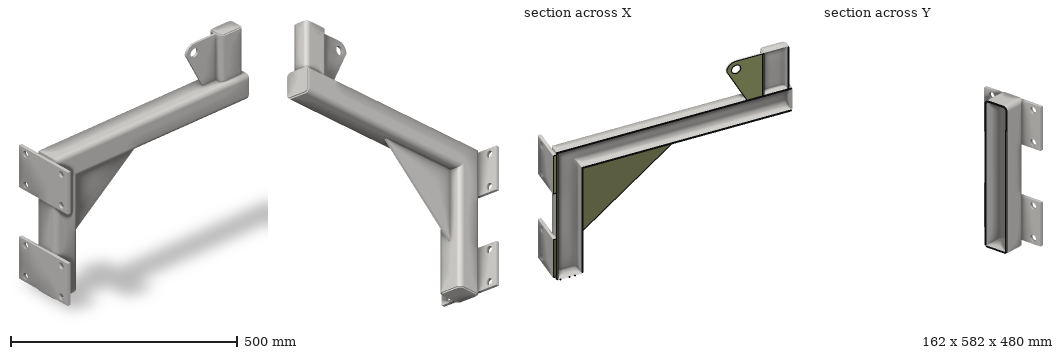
import cadquery as cq
import math


TUBE_SIZE = 65.0
TUBE_RADIUS = 11.5
TUBE_WALL = 4.0
ARM_LENGTH = 570.5
LEG_HEIGHT = 357.0

POST_WIDTH = 42.0
POST_DEPTH = 65.0
POST_RADIUS = 10.5
POST_WALL = 4.0
POST_HEIGHT = 117.5
POST_SETBACK = 5.0

ARM_CAP_THICKNESS = 3.5
LEG_CAP_THICKNESS = 3.0
POST_CAP_THICKNESS = 2.5
CAP_INSET = 3.0

LUG_THICKNESS = 6.0
LUG_REACH = 64.0
LUG_FOOT_LENGTH = 38.5
LUG_EYE_RADIUS = 23.0
LUG_HOLE_DIAMETER = 21.5

GUSSET_THICKNESS = 6.0
GUSSET_ARM_SIDE = 215.0
GUSSET_LEG_SIDE = 173.5

PLATE_WIDTH = 162.0
PLATE_HEIGHT = 107.5
PLATE_THICKNESS = 8.0
PLATE_BOTTOMS = (9.0, 243.0)
PLATE_HOLE_DIAMETER = 16.5
PLATE_HOLE_SPACING_X = 119.0
PLATE_HOLE_SPACING_Z = 79.0

ARM_UNDERSIDE = LEG_HEIGHT - TUBE_SIZE
ARM_MID_HEIGHT = LEG_HEIGHT - TUBE_SIZE / 2
LEG_MID_Y = TUBE_SIZE / 2
POST_FRONT_Y = ARM_LENGTH - POST_SETBACK - POST_DEPTH
POST_MID_Y = POST_FRONT_Y + POST_DEPTH / 2
POST_TOP = LEG_HEIGHT + POST_HEIGHT


def rounded_bar(width, depth, radius, length):
    """Bar along Z with rounded long edges, its base centred on the origin."""
    bar = cq.Workplane("XY").rect(width, depth).extrude(length)
    return bar.edges("|Z").fillet(radius)


def hollow_bar(width, depth, radius, wall, length):
    """Rectangular tube along Z with rounded long edges inside and out."""
    outside = rounded_bar(width, depth, radius, length)
    inside = rounded_bar(width - 2 * wall, depth - 2 * wall, radius - wall, length)
    return outside.cut(inside)


def cap(width, depth, radius, thickness):
    """End cap for a tube, set in all round from the outer faces of the tube."""
    return rounded_bar(width - 2 * CAP_INSET, depth - 2 * CAP_INSET, radius - CAP_INSET, thickness)


def along_arm(body, start_y):
    """Turn a body built along Z so that it runs along +Y, centred on the arm."""
    return body.rotate((0, 0, 0), (1, 0, 0), -90).translate((0, start_y, ARM_MID_HEIGHT))


def side_plate(outline, thickness):
    """Plate of the given thickness, centred on X = 0, from a closed outline in the YZ plane."""
    return outline.extrude(thickness / 2, both=True)


def square_tube(length):
    return hollow_bar(TUBE_SIZE, TUBE_SIZE, TUBE_RADIUS, TUBE_WALL, length)


def square_tube_cap(thickness):
    return cap(TUBE_SIZE, TUBE_SIZE, TUBE_RADIUS, thickness)


def build_leg():
    mitred_side = (
        cq.Workplane("YZ")
        .polyline([(0, 0), (TUBE_SIZE, 0), (TUBE_SIZE, ARM_UNDERSIDE), (0, LEG_HEIGHT)])
        .close()
    )
    tube = square_tube(LEG_HEIGHT).translate((0, LEG_MID_Y, 0))
    return tube.intersect(side_plate(mitred_side, TUBE_SIZE))


def build_arm():
    mitred_side = (
        cq.Workplane("YZ")
        .polyline([
            (0, LEG_HEIGHT),
            (ARM_LENGTH, LEG_HEIGHT),
            (ARM_LENGTH, ARM_UNDERSIDE),
            (TUBE_SIZE, ARM_UNDERSIDE),
        ])
        .close()
    )
    tube = along_arm(square_tube(ARM_LENGTH), 0)
    return tube.intersect(side_plate(mitred_side, TUBE_SIZE))


def build_leg_cap():
    return square_tube_cap(LEG_CAP_THICKNESS).translate((0, LEG_MID_Y, -LEG_CAP_THICKNESS))


def build_arm_cap():
    return along_arm(square_tube_cap(ARM_CAP_THICKNESS), ARM_LENGTH)


def build_post():
    post = hollow_bar(POST_WIDTH, POST_DEPTH, POST_RADIUS, POST_WALL, POST_HEIGHT)
    return post.translate((0, POST_MID_Y, LEG_HEIGHT))


def build_post_cap():
    post_cap = cap(POST_WIDTH, POST_DEPTH, POST_RADIUS, POST_CAP_THICKNESS)
    return post_cap.translate((0, POST_MID_Y, POST_TOP))


def build_lug():
    """Lug with a quarter-round eye corner and an edge slanting from the eye back to the arm."""
    eye_y = POST_FRONT_Y - LUG_REACH
    eye_z = POST_TOP - LUG_EYE_RADIUS
    foot_y = POST_FRONT_Y - LUG_FOOT_LENGTH
    arc_offset = LUG_EYE_RADIUS * math.cos(math.radians(45))
    outline = (
        cq.Workplane("YZ")
        .moveTo(POST_FRONT_Y, LEG_HEIGHT)
        .lineTo(foot_y, LEG_HEIGHT)
        .lineTo(eye_y - LUG_EYE_RADIUS, eye_z)
        .threePointArc((eye_y - arc_offset, eye_z + arc_offset), (eye_y, POST_TOP))
        .lineTo(POST_FRONT_Y, POST_TOP)
        .close()
    )
    hole = cq.Workplane("YZ").center(eye_y, eye_z).circle(LUG_HOLE_DIAMETER / 2)
    return side_plate(outline, LUG_THICKNESS).cut(side_plate(hole, LUG_THICKNESS))


def build_gusset():
    outline = (
        cq.Workplane("YZ")
        .moveTo(TUBE_SIZE, ARM_UNDERSIDE)
        .lineTo(TUBE_SIZE + GUSSET_ARM_SIDE, ARM_UNDERSIDE)
        .lineTo(TUBE_SIZE, ARM_UNDERSIDE - GUSSET_LEG_SIDE)
        .close()
    )
    return side_plate(outline, GUSSET_THICKNESS)


def build_wall_plate(bottom):
    """Plate with a bolt hole near each corner, against the back of the leg."""
    plate = (
        cq.Workplane("XZ")
        .rect(PLATE_WIDTH, PLATE_HEIGHT)
        .extrude(PLATE_THICKNESS)
        .faces("<Y")
        .workplane()
        .rect(PLATE_HOLE_SPACING_X, PLATE_HOLE_SPACING_Z, forConstruction=True)
        .vertices()
        .hole(PLATE_HOLE_DIAMETER)
    )
    return plate.translate((0, 0, bottom + PLATE_HEIGHT / 2))


leg = build_leg()
arm = build_arm()
leg_cap = build_leg_cap()
arm_cap = build_arm_cap()
post = build_post()
post_cap = build_post_cap()
lug = build_lug()
gusset = build_gusset()
wall_plates = [build_wall_plate(bottom) for bottom in PLATE_BOTTOMS]

result = cq.Compound.makeCompound([
    leg.val(),
    arm.val(),
    leg_cap.val(),
    arm_cap.val(),
    post.val(),
    post_cap.val(),
    lug.val(),
    gusset.val(),
    *[plate.val() for plate in wall_plates],
])